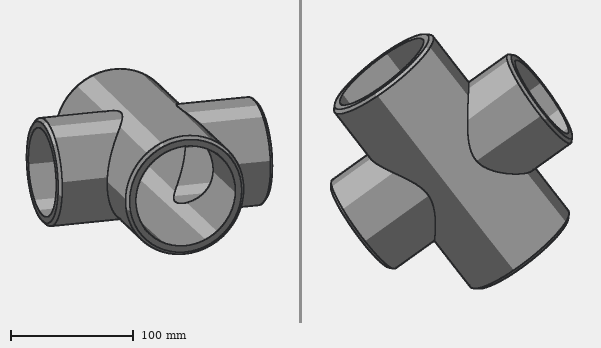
import cadquery as cq

run_length = 190.5
run_outer_diameter = 101.5
run_bore_diameter = 85.3

branch_span = 183.8
branch_outer_diameter = 89.0
branch_bore_diameter = 73.2

end_bevel = 2.7


def centred_cylinder(plane, diameter, length):
    """Cylinder centred on the origin, along the normal of the plane."""
    return cq.Workplane(plane).circle(diameter / 2).extrude(length / 2, both=True)


def bevelled_pipe(plane, end_faces, diameter, length):
    """Solid pipe body with both outer end edges bevelled."""
    body = centred_cylinder(plane, diameter, length)
    return body.faces(end_faces).edges().chamfer(end_bevel)


run = bevelled_pipe("YZ", "|X", run_outer_diameter, run_length)
branches = bevelled_pipe("XZ", "|Y", branch_outer_diameter, branch_span)
cross = run.union(branches)

run_bore = centred_cylinder("YZ", run_bore_diameter, run_length)
branch_bore = centred_cylinder("XZ", branch_bore_diameter, branch_span)
result = cross.cut(run_bore).cut(branch_bore)